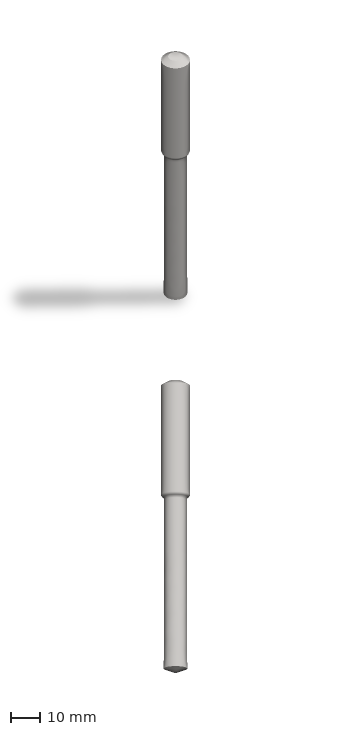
import cadquery as cq
import math

TOTAL_LENGTH = 103.0
SHANK_DIAMETER = 10.0
SHANK_LENGTH = 40.0
TOP_FACE_DIAMETER = 5.0
TOP_CHAMFER_ANGLE = 30.0
NECK_DIAMETER = 7.9
SHOULDER_HEIGHT = 1.8
CUTTER_LENGTH = 42.0
CUTTER_DIAMETER = 8.1
POINT_ANGLE = 137.0

shank_radius = SHANK_DIAMETER / 2
top_face_radius = TOP_FACE_DIAMETER / 2
neck_radius = NECK_DIAMETER / 2
cutter_radius = CUTTER_DIAMETER / 2
chamfer_height = (shank_radius - top_face_radius) * math.tan(math.radians(TOP_CHAMFER_ANGLE))
shoulder_top = TOTAL_LENGTH - SHANK_LENGTH
shoulder_bottom = shoulder_top - SHOULDER_HEIGHT
point_height = cutter_radius / math.tan(math.radians(POINT_ANGLE / 2))


def make_shank():
    """Shank with a conical top, an S-shaped shoulder and a cylindrical neck."""
    shoulder_middle = ((shank_radius + neck_radius) / 2, (shoulder_top + shoulder_bottom) / 2)
    profile = (
        cq.Workplane("XZ")
        .moveTo(0, CUTTER_LENGTH)
        .lineTo(0, TOTAL_LENGTH)
        .lineTo(top_face_radius, TOTAL_LENGTH)
        .lineTo(shank_radius, TOTAL_LENGTH - chamfer_height)
        .lineTo(shank_radius, shoulder_top)
        .tangentArcPoint(shoulder_middle, relative=False)
        .tangentArcPoint((neck_radius, shoulder_bottom), relative=False)
        .lineTo(neck_radius, CUTTER_LENGTH)
        .close()
    )
    return profile.revolve(360, (0, 0, 0), (0, 1, 0))


def make_cutter():
    """Cutting head, widening slightly from the neck to the corners of its conical point."""
    profile = (
        cq.Workplane("XZ")
        .lineTo(cutter_radius, point_height)
        .lineTo(neck_radius, CUTTER_LENGTH)
        .lineTo(0, CUTTER_LENGTH)
        .close()
    )
    return profile.revolve(360, (0, 0, 0), (0, 1, 0))


shank = make_shank()
cutter = make_cutter()

result = cq.Compound.makeCompound([shank.val(), cutter.val()])